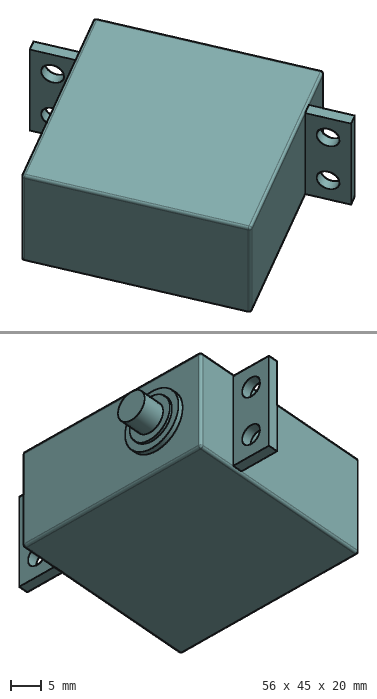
import cadquery as cq

overall_width = 56.0
overall_depth = 45.0

case_width = 40.0
case_depth = 39.0
case_height = 20.0
case_edge_radius = 0.5

ear_thickness = 2.0
ear_height = 19.0
ear_setback = 8.0
ear_hole_diameter = 4.0
ear_hole_spacing = 10.0

shaft_offset = 10.0
shaft_rise = 0.3
shaft_diameter = 6.0
shaft_length = overall_depth - case_depth
flange_diameter = 12.0
flange_height = 1.0
collar_diameter = 9.0
collar_height = 1.5

ear_length = (overall_width - case_width) / 2
ear_center_x = (case_width + ear_length) / 2
ear_center_y = case_depth - ear_setback - ear_thickness / 2
shaft_x = shaft_offset - case_width / 2


def make_case():
    """Block with every edge rounded."""
    block = cq.Workplane("XY").box(case_width, case_depth, case_height)
    return block.edges().fillet(case_edge_radius).translate((0, case_depth / 2, 0))


def make_ear(side):
    """Drilled plate against the case wall; side is -1 for -X and +1 for +X."""
    hole_z = ear_hole_spacing / 2
    ear = (
        cq.Workplane("XY")
        .box(ear_length, ear_thickness, ear_height)
        .faces("<Y")
        .workplane(centerOption="CenterOfBoundBox")
        .pushPoints([(0, -hole_z), (0, hole_z)])
        .hole(ear_hole_diameter)
    )
    return ear.translate((side * ear_center_x, ear_center_y, 0))


def make_rear_cylinder(diameter, height):
    """Cylinder on the shaft axis, standing out from the case rear face."""
    rear_face = cq.Plane(origin=(shaft_x, case_depth, shaft_rise), xDir=(1, 0, 0), normal=(0, 1, 0))
    return cq.Workplane(rear_face).circle(diameter / 2).extrude(height)


result = make_case()

for side in (-1, 1):
    result = result.union(make_ear(side))

for diameter, height in (
    (flange_diameter, flange_height),
    (collar_diameter, collar_height),
    (shaft_diameter, shaft_length),
):
    result = result.union(make_rear_cylinder(diameter, height))